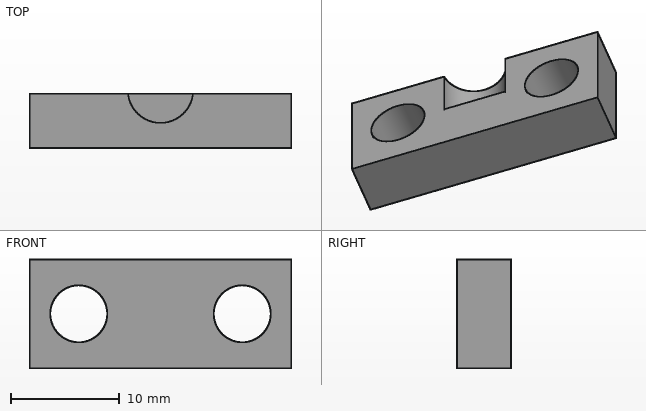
import cadquery as cq

length = 24.0
thickness = 5.0
height = 10.0

hole_diameter = 5.2
hole_spacing = 15.0

notch_radius = 3.0
notch_reach = 2.7
notch_depth = height / 2


def make_block():
    return cq.Workplane("XY").box(length, thickness, height)


def make_holes():
    return (
        cq.Workplane("XZ", origin=(0, thickness / 2, 0))
        .pushPoints([(-hole_spacing / 2, 0), (hole_spacing / 2, 0)])
        .circle(hole_diameter / 2)
        .extrude(thickness)
    )


def make_notch():
    center_y = thickness / 2 - notch_reach + notch_radius
    return (
        cq.Workplane("XY", origin=(0, center_y, height / 2))
        .circle(notch_radius)
        .extrude(-notch_depth)
    )


result = make_block().cut(make_holes()).cut(make_notch())